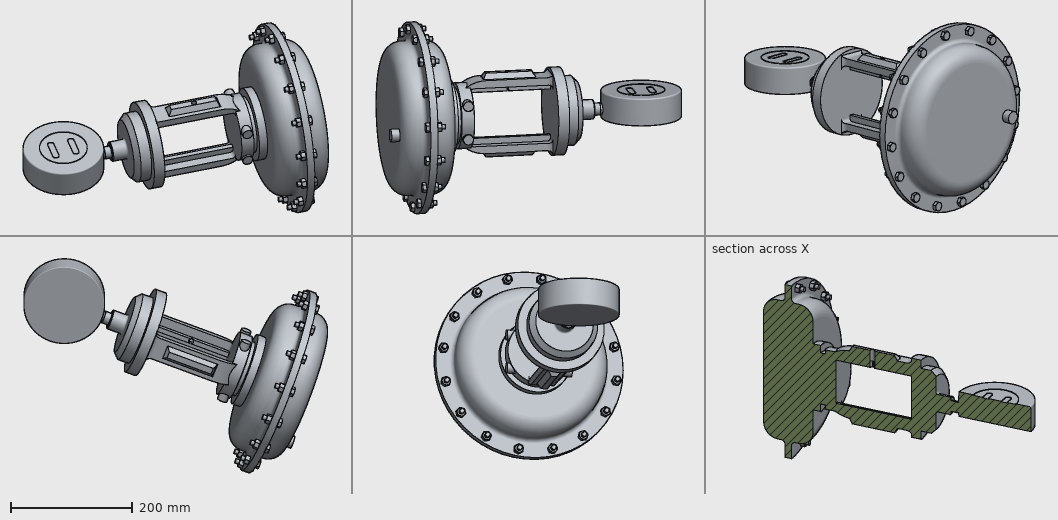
import cadquery as cq
import math


FLANGE_R = 158.75
FLANGE_HALF = 6.2
CASING_R = 128.0
CASING_HALF = 46.0
CASING_ROUND = 27.0
CASING_FOOT_ROUND = 6.8

BOLT_COUNT = 16
BOLT_CIRCLE_R = 147.6
BOLT_START_ANGLE = 15.0
BOLT_D = 8.0
HEX_SIDES = 6
HALF_SIDE_ANGLE = 180.0 / HEX_SIDES
HEX_ACROSS_FLATS = 14.0
HEX_ACROSS_CORNERS = HEX_ACROSS_FLATS / math.cos(math.radians(HALF_SIDE_ANGLE))
HEX_CHAMFER_HEIGHT = 0.8
NUT_TURN = 7.5
BOLT_HEAD_TURN = NUT_TURN + HALF_SIDE_ANGLE
BOLT_HEAD_HEIGHT = 6.3
NUT_HEIGHT = 7.8
BOLT_TIP = 20.5

PORT_X = -88.6
PORT_Z = -6.0
PORT_D = 21.0
PORT_END = 60.0

NECK_FLANGE_R = 61.0
NECK_FLANGE_END = -60.0
NECK_R = 47.3
COLLAR_START = -67.5
COLLAR_END = -88.6
COLLAR_R = 54.8
PIN_D = 17.0
PIN_Y = -78.3
PIN_Z = 28.3

LEG_WIDTH = 38.6
LEG_INNER_Z = 49.4
LEG_OUTER_Z = 62.1
LEG_START = -80.0
SHOULDER_START = -113.5
SHOULDER_R = 54.0
LEG_ROOT_ROUND = 6.0
FLARE_LENGTH = 9.5
FLARE_SPREAD = 4.5
RIB_WIDTH = 8.0
RIB_INNER_Z = 39.0

PAD_TOP_Z = 71.3
PAD_Y = -156.5
PAD_BASE_LENGTH = 88.8
PAD_TOP_LENGTH = 78.0
PAD_BASE_WIDTH = 23.3
PAD_TOP_WIDTH = 10.8
PAD_HOLE_D = 8.3
PAD_HOLE_Y = -154.7

YOKE_FLANGE_R = 73.0
YOKE_FLANGE_START = -226.7
YOKE_FLANGE_END = -245.0
BONNET_R = 58.0
BONNET_END = -272.5
BONNET_CHAMFER = 9.3
SLEEVE_R = 16.4
SLEEVE_END = -299.5
SLEEVE_ROOT_ROUND = 3.0
SLEEVE_CHAMFER = 1.5
STEM_R = 10.3
STEM_TIP_R = 9.3
STEM_TIP_START = -310.0

TOTAL_LENGTH = 506.95
HEAD_R = 66.9
HEAD_Y = PORT_END - TOTAL_LENGTH + HEAD_R
HEAD_BOTTOM = -16.3
HEAD_TOP = 29.7
HEAD_TOP_ROUND = 2.5
HEAD_BOTTOM_ROUND = 1.2
DIAL_R = 39.5
DIAL_DEPTH = 1.0
SLOT_LENGTH = 39.3
SLOT_WIDTH = 10.5
SLOT_OFFSET = 17.3
SLOT_CORNER_R = 4.5
SLOT_DEPTH = 1.0


def turned(profile):
    """Revolve a closed (radius, y) profile about the Y axis."""
    return profile.close().revolve(360, (0, 0, 0), (0, 1, 0))


def rod(x, z, y_from, y_to, diameter):
    """Round bar parallel to Y."""
    plane = cq.Plane(origin=(x, y_from, z), xDir=(1, 0, 0), normal=(0, 1, 0))
    return cq.Workplane(plane).circle(diameter / 2).extrude(y_to - y_from)


def casing():
    """Domed casing with its flange rim and the air connection."""
    foot_r = CASING_R + CASING_FOOT_ROUND
    foot_y = FLANGE_HALF + CASING_FOOT_ROUND
    dome_r = CASING_R - CASING_ROUND
    dome_y = CASING_HALF - CASING_ROUND
    foot_mid = CASING_FOOT_ROUND * (1 - math.sqrt(0.5))
    dome_mid = CASING_ROUND * math.sqrt(0.5)
    profile = (
        cq.Workplane("XY")
        .moveTo(0, -CASING_HALF)
        .lineTo(dome_r, -CASING_HALF)
        .threePointArc((dome_r + dome_mid, -dome_y - dome_mid), (CASING_R, -dome_y))
        .lineTo(CASING_R, -foot_y)
        .threePointArc((CASING_R + foot_mid, -FLANGE_HALF - foot_mid), (foot_r, -FLANGE_HALF))
        .lineTo(FLANGE_R, -FLANGE_HALF)
        .lineTo(FLANGE_R, FLANGE_HALF)
        .lineTo(foot_r, FLANGE_HALF)
        .threePointArc((CASING_R + foot_mid, FLANGE_HALF + foot_mid), (CASING_R, foot_y))
        .lineTo(CASING_R, dome_y)
        .threePointArc((dome_r + dome_mid, dome_y + dome_mid), (dome_r, CASING_HALF))
        .lineTo(0, CASING_HALF)
    )
    port = rod(PORT_X, PORT_Z, 0, PORT_END, PORT_D)
    return turned(profile).union(port)


def hexagon(y_from, y_to, turn):
    """Hexagonal prism about a line parallel to Y, with its corners chamfered at y_to."""
    normal_y = math.copysign(1, y_to - y_from)
    height = abs(y_to - y_from)
    plane = cq.Plane(origin=(BOLT_CIRCLE_R, y_from, 0), xDir=(1, 0, 0), normal=(0, normal_y, 0))
    prism = (
        cq.Workplane(plane)
        .transformed(rotate=(0, 0, -normal_y * turn))
        .polygon(HEX_SIDES, HEX_ACROSS_CORNERS)
        .extrude(height)
    )
    corner_depth = (HEX_ACROSS_CORNERS - HEX_ACROSS_FLATS) / 2
    envelope = cq.Workplane(plane).circle(HEX_ACROSS_CORNERS / 2).extrude(height)
    envelope = envelope.faces(">Y" if normal_y > 0 else "<Y").chamfer(HEX_CHAMFER_HEIGHT, corner_depth)
    return prism.intersect(envelope)


def bolt(angle):
    """Flange bolt with its head at +Y and its nut and tip at -Y."""
    head_hex = hexagon(FLANGE_HALF, FLANGE_HALF + BOLT_HEAD_HEIGHT, BOLT_HEAD_TURN)
    nut_hex = hexagon(-FLANGE_HALF, -FLANGE_HALF - NUT_HEIGHT, NUT_TURN)
    shank = rod(BOLT_CIRCLE_R, 0, -BOLT_TIP, FLANGE_HALF, BOLT_D)
    return shank.union(head_hex).union(nut_hex).rotate((0, 0, 0), (0, 1, 0), -angle)


def neck():
    """Stepped neck and collar, with two round pins crossing the collar along X."""
    profile = (
        cq.Workplane("XY")
        .moveTo(0, 0)
        .lineTo(NECK_FLANGE_R, 0)
        .lineTo(NECK_FLANGE_R, NECK_FLANGE_END)
        .lineTo(NECK_R, NECK_FLANGE_END)
        .lineTo(NECK_R, COLLAR_START)
        .lineTo(COLLAR_R, COLLAR_START)
        .lineTo(COLLAR_R, COLLAR_END)
        .lineTo(0, COLLAR_END)
    )
    pins = (
        cq.Workplane("YZ")
        .pushPoints([(PIN_Y, PIN_Z), (PIN_Y, -PIN_Z)])
        .circle(PIN_D / 2)
        .extrude(COLLAR_R, both=True)
    )
    return turned(profile).union(pins)


def leg():
    """Upper yoke leg: a slab flared at the yoke flange, an inner rib and an outer pad."""
    flare_start = YOKE_FLANGE_START + FLARE_LENGTH
    flare_r = (FLARE_LENGTH**2 + FLARE_SPREAD**2) / (2 * FLARE_SPREAD)
    flare_mid_y = flare_start - FLARE_LENGTH / 2
    flare_mid = flare_r - math.sqrt(flare_r**2 - (FLARE_LENGTH / 2) ** 2)

    half = LEG_WIDTH / 2
    outline = (
        cq.Workplane("XY")
        .moveTo(half, LEG_START)
        .lineTo(half, flare_start)
        .threePointArc((half + flare_mid, flare_mid_y), (half + FLARE_SPREAD, YOKE_FLANGE_START))
        .lineTo(-half - FLARE_SPREAD, YOKE_FLANGE_START)
        .threePointArc((-half - flare_mid, flare_mid_y), (-half, flare_start))
        .lineTo(-half, LEG_START)
        .close()
        .extrude(LEG_OUTER_Z + FLARE_SPREAD)
    )

    def shoulder_z(y):
        drop = SHOULDER_R - math.sqrt(SHOULDER_R**2 - (y - SHOULDER_START) ** 2)
        return LEG_OUTER_Z - drop

    shoulder_mid = (SHOULDER_START + LEG_START) / 2
    root_z = LEG_INNER_Z - LEG_ROOT_ROUND
    root_mid = LEG_ROOT_ROUND * (1 - math.sqrt(0.5))
    side = (
        cq.Workplane("YZ")
        .moveTo(LEG_START, root_z)
        .lineTo(LEG_START, shoulder_z(LEG_START))
        .threePointArc((shoulder_mid, shoulder_z(shoulder_mid)), (SHOULDER_START, LEG_OUTER_Z))
        .lineTo(flare_start, LEG_OUTER_Z)
        .threePointArc(
            (flare_mid_y, LEG_OUTER_Z + flare_mid),
            (YOKE_FLANGE_START, LEG_OUTER_Z + FLARE_SPREAD),
        )
        .lineTo(YOKE_FLANGE_START, root_z)
        .threePointArc(
            (YOKE_FLANGE_START + root_mid, LEG_INNER_Z - root_mid),
            (YOKE_FLANGE_START + LEG_ROOT_ROUND, LEG_INNER_Z),
        )
        .lineTo(COLLAR_END - LEG_ROOT_ROUND, LEG_INNER_Z)
        .threePointArc((COLLAR_END - root_mid, LEG_INNER_Z - root_mid), (COLLAR_END, root_z))
        .close()
        .extrude(half + FLARE_SPREAD, both=True)
    )

    rib_length = COLLAR_END - YOKE_FLANGE_START
    rib = (
        cq.Workplane("XY", origin=(0, YOKE_FLANGE_START + rib_length / 2, RIB_INNER_Z))
        .rect(RIB_WIDTH, rib_length)
        .extrude(LEG_INNER_Z - RIB_INNER_Z)
    )
    pad = (
        cq.Workplane("XY", origin=(0, PAD_Y, LEG_OUTER_Z))
        .rect(PAD_BASE_WIDTH, PAD_BASE_LENGTH)
        .workplane(offset=PAD_TOP_Z - LEG_OUTER_Z)
        .rect(PAD_TOP_WIDTH, PAD_TOP_LENGTH)
        .loft(ruled=True)
    )
    return outline.intersect(side).union(rib).union(pad)


def pad_hole():
    """Cutter for the hole down through the upper pad, leg and rib."""
    return (
        cq.Workplane("XY", origin=(0, PAD_HOLE_Y, RIB_INNER_Z))
        .circle(PAD_HOLE_D / 2)
        .extrude(PAD_TOP_Z - RIB_INNER_Z)
    )


def bonnet_and_stem():
    """Yoke flange, chamfered bonnet, sleeve and stem running into the head."""
    root_y = BONNET_END - SLEEVE_ROOT_ROUND
    root_mid = SLEEVE_ROOT_ROUND * (1 - math.sqrt(0.5))
    profile = (
        cq.Workplane("XY")
        .moveTo(0, YOKE_FLANGE_START)
        .lineTo(YOKE_FLANGE_R, YOKE_FLANGE_START)
        .lineTo(YOKE_FLANGE_R, YOKE_FLANGE_END)
        .lineTo(BONNET_R, YOKE_FLANGE_END)
        .lineTo(BONNET_R, BONNET_END + BONNET_CHAMFER)
        .lineTo(BONNET_R - BONNET_CHAMFER, BONNET_END)
        .lineTo(SLEEVE_R + SLEEVE_ROOT_ROUND, BONNET_END)
        .threePointArc((SLEEVE_R + root_mid, BONNET_END - root_mid), (SLEEVE_R, root_y))
        .lineTo(SLEEVE_R, SLEEVE_END + SLEEVE_CHAMFER)
        .lineTo(SLEEVE_R - SLEEVE_CHAMFER, SLEEVE_END)
        .lineTo(STEM_R, SLEEVE_END)
        .lineTo(STEM_R, STEM_TIP_START)
        .lineTo(STEM_TIP_R, STEM_TIP_START)
        .lineTo(STEM_TIP_R, HEAD_Y)
        .lineTo(0, HEAD_Y)
    )
    return turned(profile)


def head():
    """Flat disc at the end of the stem, with rounded rims."""
    base = cq.Workplane("XY", origin=(0, HEAD_Y, HEAD_BOTTOM))
    body = base.circle(HEAD_R).extrude(HEAD_TOP - HEAD_BOTTOM)
    body = body.faces(">Z").edges().fillet(HEAD_TOP_ROUND)
    return body.faces("<Z").edges().fillet(HEAD_BOTTOM_ROUND)


def dial():
    """Cutter for the dial recess and its two slots."""
    dial_floor = HEAD_TOP - DIAL_DEPTH
    recess = cq.Workplane("XY", origin=(0, HEAD_Y, dial_floor)).circle(DIAL_R).extrude(DIAL_DEPTH)
    slots = (
        cq.Workplane("XY", origin=(0, HEAD_Y, dial_floor - SLOT_DEPTH))
        .pushPoints([(0, SLOT_OFFSET), (0, -SLOT_OFFSET)])
        .rect(SLOT_LENGTH, SLOT_WIDTH)
        .extrude(SLOT_DEPTH)
        .edges("|Z")
        .fillet(SLOT_CORNER_R)
    )
    return recess.union(slots)


upper_leg = leg()
lower_leg = upper_leg.mirror("XY")

yoke = neck().union(upper_leg.cut(pad_hole())).union(lower_leg)
lower_end = bonnet_and_stem().union(head()).cut(dial())

result = casing()
for index in range(BOLT_COUNT):
    bolt_angle = BOLT_START_ANGLE + index * 360 / BOLT_COUNT
    result = result.union(bolt(bolt_angle))
result = result.union(yoke).union(lower_end)